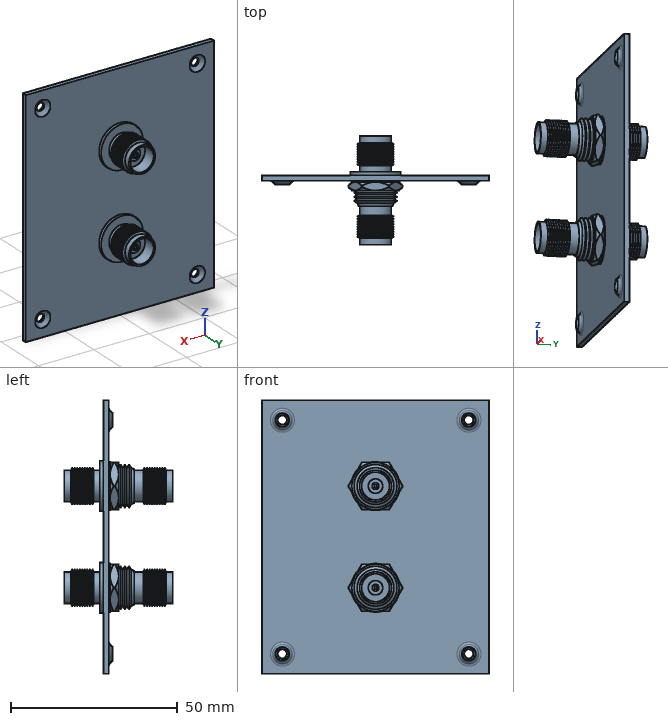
import cadquery as cq
import math


panel_width = 68.07
panel_height = 82.04
panel_thickness = 1.65

mount_spacing_x = 55.88
mount_spacing_z = 70.1
mount_height = 1.1
mount_base_radius = 3.6
mount_rim_radius = 2.1
mount_fillet_radius = 1.0
mount_cone_slope = math.radians(45)
mount_hole_radius = 1.35
mount_recess_radius = 2.0
mount_recess_depth = 0.9
mount_countersink_radius = 2.8
mount_countersink_depth = 1.2

connector_spacing = 30.48
connector_length = 32.64
connector_rear_reach = 11.8
flange_radius = 7.6
flange_thickness = 1.15
barrel_radius = 4.76

coupling_radius = 5.5
coupling_root_radius = 4.8
coupling_pitch = 0.762
coupling_teeth = 9
coupling_setback = 2.05

shank_radius = 6.45
shank_root_radius = 5.5
shank_pitch = 1.25
shank_teeth = 3
lead_in_length = 0.9
lead_in_end_radius = 5.1

socket_radius = 4.18
socket_depth = 4.6
insulator_radius = 2.16
insulator_height = 0.5
contact_radius = 1.02
contact_height = 0.5
contact_hole_radius = 0.45
contact_hole_depth = 2.0

washer_radius = 7.3
washer_thickness = 0.35
nut_across_flats = 14.15
nut_thickness = 2.55

rear_end = panel_thickness + connector_rear_reach
front_end = rear_end - connector_length
nut_rear = -washer_thickness
nut_front = nut_rear - nut_thickness

mount_points = [
    (side_x * mount_spacing_x / 2, side_z * mount_spacing_z / 2)
    for side_x in (-1, 1)
    for side_z in (-1, 1)
]
connector_heights = [-connector_spacing / 2, connector_spacing / 2]


def revolve_about_y(profile):
    """Turn a closed (radius, y) outline one full turn about the Y axis."""
    return cq.Workplane("XY").polyline(profile).close().revolve(360, (0, 0, 0), (0, 1, 0))


def cylinder_along_y(radius, start, end):
    """Solid cylinder on the Y axis between two Y places."""
    return revolve_about_y([(0, start), (radius, start), (radius, end), (0, end)])


def make_panel():
    """Flat panel with four raised holes and two clearance holes for the connectors."""
    panel = cq.Workplane("XY").box(panel_width, panel_thickness, panel_height)
    panel = panel.translate((0, panel_thickness / 2, 0))

    arc_end = (
        mount_base_radius - mount_fillet_radius * math.sin(mount_cone_slope),
        -mount_fillet_radius * (1 - math.cos(mount_cone_slope)),
    )
    arc_middle = (
        mount_base_radius - mount_fillet_radius * math.sin(mount_cone_slope / 2),
        -mount_fillet_radius * (1 - math.cos(mount_cone_slope / 2)),
    )
    rise = (
        cq.Workplane("XY")
        .moveTo(0, panel_thickness / 2)
        .lineTo(mount_base_radius, panel_thickness / 2)
        .lineTo(mount_base_radius, 0)
        .threePointArc(arc_middle, arc_end)
        .lineTo(mount_rim_radius, -mount_height)
        .lineTo(0, -mount_height)
        .close()
        .revolve(360, (0, 0, 0), (0, 1, 0))
    )

    mount_bore = revolve_about_y([
        (0, -mount_height),
        (mount_recess_radius, -mount_height),
        (mount_hole_radius, mount_recess_depth - mount_height),
        (mount_hole_radius, panel_thickness - mount_countersink_depth),
        (mount_countersink_radius, panel_thickness),
        (0, panel_thickness),
    ])
    for x, z in mount_points:
        panel = panel.union(rise.translate((x, 0, z)))
        panel = panel.cut(mount_bore.translate((x, 0, z)))

    clearance = cylinder_along_y(shank_radius, 0, panel_thickness)
    for z in connector_heights:
        panel = panel.cut(clearance.translate((0, 0, z)))
    return panel


def tooth_points(start, pitch, count, root_radius, tip_radius):
    """Outline points of sharp thread ridges, running towards +Y from start."""
    points = [(root_radius, start)]
    for tooth in range(count):
        points.append((tip_radius, start + (tooth + 0.5) * pitch))
        points.append((root_radius, start + (tooth + 1) * pitch))
    return points


def make_socket():
    """Space inside the front end of the barrel, around the insulator and contact."""
    floor = front_end + socket_depth
    insulator_face = floor - insulator_height
    contact_face = insulator_face - contact_height
    return revolve_about_y([
        (0, front_end),
        (socket_radius, front_end),
        (socket_radius, floor),
        (insulator_radius, floor),
        (insulator_radius, insulator_face),
        (contact_radius, insulator_face),
        (contact_radius, contact_face),
        (contact_hole_radius, contact_face),
        (contact_hole_radius, contact_face + contact_hole_depth),
        (0, contact_face + contact_hole_depth),
    ])


def make_connector():
    """Double-ended threaded connector with a rear flange and a threaded shank."""
    coupling_length = coupling_teeth * coupling_pitch
    front_coupling_start = front_end + coupling_setback
    front_coupling_end = front_coupling_start + coupling_length
    rear_coupling_end = rear_end - coupling_setback
    rear_coupling_start = rear_coupling_end - coupling_length
    coupling = (coupling_pitch, coupling_teeth, coupling_root_radius, coupling_radius)
    front_coupling = tooth_points(front_coupling_start, *coupling)
    rear_coupling = tooth_points(rear_coupling_start, *coupling)

    shank_thread_length = shank_teeth * shank_pitch
    shank_thread_start = nut_front - shank_thread_length
    shank_thread = tooth_points(
        shank_thread_start, shank_pitch, shank_teeth, shank_root_radius, shank_radius
    )
    lead_in_start = shank_thread_start - lead_in_length
    flange_rear = panel_thickness + flange_thickness

    outline = [
        (0, front_end),
        (barrel_radius, front_end),
        (barrel_radius, front_coupling_start),
        *front_coupling,
        (barrel_radius, front_coupling_end),
        (barrel_radius, lead_in_start),
        (lead_in_end_radius, lead_in_start),
        *shank_thread,
        (shank_radius, nut_front),
        (shank_radius, panel_thickness),
        (flange_radius, panel_thickness),
        (flange_radius, flange_rear),
        (barrel_radius, flange_rear),
        (barrel_radius, rear_coupling_start),
        *rear_coupling,
        (barrel_radius, rear_coupling_end),
        (barrel_radius, rear_end),
        (0, rear_end),
    ]
    front_socket = make_socket()
    middle = (front_end + rear_end) / 2
    rear_socket = front_socket.mirror("XZ", (0, middle, 0))
    return revolve_about_y(outline).cut(front_socket).cut(rear_socket)


def make_washer():
    """Flat ring between the panel and the nut."""
    ring = cylinder_along_y(washer_radius, nut_rear, 0)
    return ring.cut(cylinder_along_y(shank_radius, nut_rear, 0))


def make_nut():
    """Hex nut with corners on the X axis, chamfered at 45 degrees on both faces."""
    corner_radius = nut_across_flats / 2 / math.cos(math.pi / 6)
    face_radius = nut_across_flats / 2
    chamfer = corner_radius - face_radius
    hexagon = (
        cq.Workplane("XZ")
        .workplane(offset=-nut_rear)
        .polygon(6, 2 * corner_radius)
        .extrude(nut_thickness)
    )
    chamfer_envelope = revolve_about_y([
        (0, nut_front),
        (face_radius, nut_front),
        (corner_radius, nut_front + chamfer),
        (corner_radius, nut_rear - chamfer),
        (face_radius, nut_rear),
        (0, nut_rear),
    ])
    nut = hexagon.intersect(chamfer_envelope)
    return nut.cut(cylinder_along_y(shank_radius, nut_front, nut_rear))


panel = make_panel()
bodies = [panel.val()]
for height in connector_heights:
    for body in (make_connector(), make_washer(), make_nut()):
        bodies.append(body.translate((0, 0, height)).val())

result = cq.Compound.makeCompound(bodies)